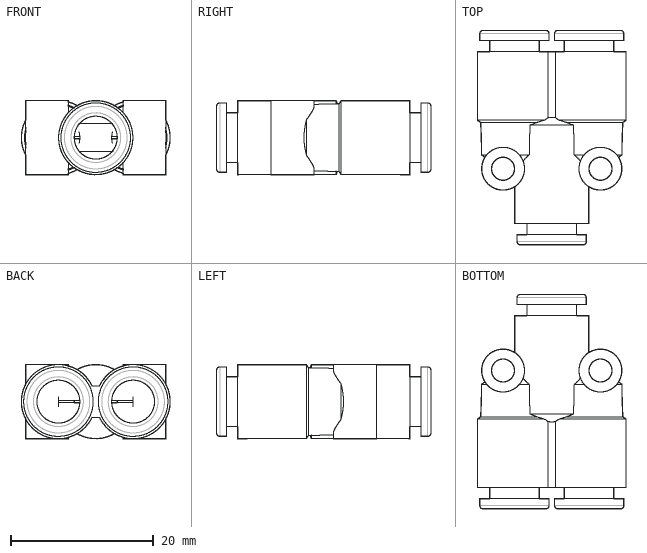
import cadquery as cq

overall_length = 30.1
port_end = overall_length / 2

collar_radius = 4.88
collar_length = 1.45
collar_round = 0.48
neck_radius = 3.5
neck_length = 1.55
bore_radius = 3.0
mouth_round = neck_radius - bore_radius
barrel_end = port_end - collar_length - neck_length

barrel_radius = 5.2
branch_offset = 5.25
barrel_shoulder = 2.45
shoulder_chamfer = 0.3
sleeve_top_radius = 4.75
sleeve_bottom_radius = 4.65
sleeve_bottom = -2.4
tip_length = 1.2
tip_radius = 3.07

nose_start = 1.75
nose_length = 1.08
web_thickness = 4.4
web_bottom = 0.0

ear_radius = 3.0
ear_hole_radius = 1.6
ear_x = 6.83
ear_y = -4.35

cross_radius = 1.95
passage_overlap = 0.005
inlet_bore_bottom = 0.0
branch_bore_bottom = cross_radius - passage_overlap


def revolve_about_y(profile):
    """Revolve (radius, y) points about the Y axis."""
    return cq.Workplane("XY").polyline(profile).close().revolve(360, (0, 0, 0), (0, 1, 0))


def cylinder_along_y(radius, start, end):
    return cq.Workplane("XZ", origin=(0, start, 0)).circle(radius).extrude(start - end)


def face_inlet(shape):
    """Turn a +Y port feature around to point toward -Y."""
    return shape.rotate((0, 0, 0), (0, 0, 1), 180)


def collar_and_neck():
    """Collar with a rounded outer rim, pointing toward +Y, on its narrower neck."""
    collar = cylinder_along_y(collar_radius, port_end - collar_length, port_end)
    collar = collar.faces(">Y").edges().fillet(collar_round)
    return collar.union(cylinder_along_y(neck_radius, barrel_end, port_end - collar_length))


def port_bore(bottom):
    """Bore opening toward +Y, with a rounded flare at the mouth."""
    return (
        cq.Workplane("XY")
        .moveTo(0, bottom)
        .lineTo(bore_radius, bottom)
        .lineTo(bore_radius, port_end - mouth_round)
        .radiusArc((neck_radius, port_end), mouth_round)
        .lineTo(0, port_end)
        .close()
        .revolve(360, (0, 0, 0), (0, 1, 0))
    )


def outlet_body():
    """Outlet barrel stepping down to a tapered sleeve with a conical tip."""
    barrel = revolve_about_y([
        (0, barrel_end),
        (barrel_radius, barrel_end),
        (barrel_radius, barrel_shoulder),
        (sleeve_top_radius, barrel_shoulder - shoulder_chamfer),
        (sleeve_bottom_radius, sleeve_bottom),
        (tip_radius, sleeve_bottom - tip_length),
        (0, sleeve_bottom - tip_length),
    ])
    return barrel.union(collar_and_neck())


def inlet_body():
    """Inlet barrel whose conical nose narrows to the thickness of the web."""
    barrel = revolve_about_y([
        (0, -barrel_end),
        (barrel_radius, -barrel_end),
        (barrel_radius, nose_start),
        (web_thickness / 2, nose_start + nose_length),
        (0, nose_start + nose_length),
    ])
    return barrel.union(face_inlet(collar_and_neck()))


def web():
    return (
        cq.Workplane("XY")
        .box(2 * branch_offset, barrel_end - web_bottom, web_thickness)
        .translate((0, (barrel_end + web_bottom) / 2, 0))
    )


def ear_cylinders(radius):
    """One vertical cylinder at each ear, as tall as the barrels."""
    return (
        cq.Workplane("XY", origin=(0, 0, -barrel_radius))
        .pushPoints([(-ear_x, ear_y), (ear_x, ear_y)])
        .circle(radius)
        .extrude(2 * barrel_radius)
    )


def cross_passage():
    """Passage along X joining the inlet bore to both outlet bores."""
    return cq.Workplane("YZ").circle(cross_radius).extrude(branch_offset, both=True)


result = inlet_body().union(web()).union(ear_cylinders(ear_radius))
for side in (-1, 1):
    result = result.union(outlet_body().translate((side * branch_offset, 0, 0)))

result = result.cut(face_inlet(port_bore(inlet_bore_bottom)))
result = result.cut(cross_passage())
for side in (-1, 1):
    result = result.cut(port_bore(branch_bore_bottom).translate((side * branch_offset, 0, 0)))
result = result.cut(ear_cylinders(ear_hole_radius))